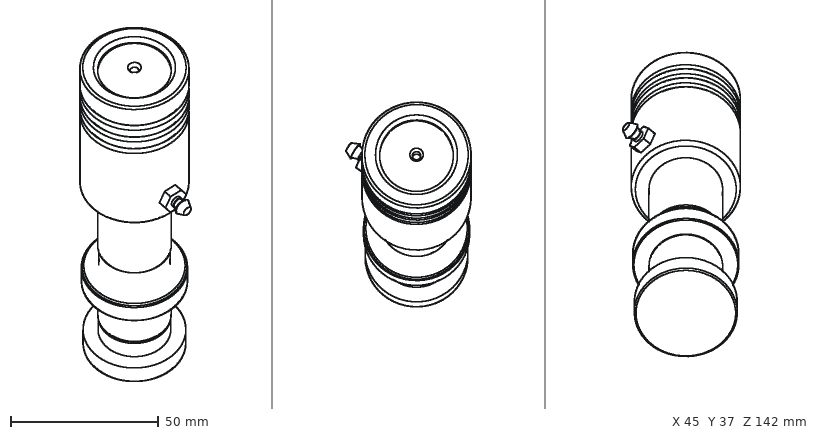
import cadquery as cq
import math

TOTAL_HEIGHT = 142

SLEEVE_DIAMETER = 37.0
SLEEVE_LENGTH = 60.0
SLEEVE_BOTTOM_CHAMFER = 1.4
SLEEVE_TOP_CHAMFER_WIDTH = 1.0
SLEEVE_TOP_CHAMFER_HEIGHT = 0.5
BORE_CHAMFER = 1.4
GROOVE_COUNT = 3
GROOVE_PITCH = 6.0
FIRST_GROOVE_DROP = 10.0
GROOVE_DEPTH = 1.0
GROOVE_WIDTH = 2.5

PILLAR_RADIUS = 12.5
PILLAR_TOP_FILLET = 3.0
PILLAR_END_CHAMFER = 1.0
PILLAR_RELIEF = 0.4
UPPER_RELIEF_HEIGHT = 10.4
LOWER_RELIEF_HEIGHT = 0.5
CENTRE_HOLE_RADIUS = 1.4
CENTRE_HOLE_DEPTH = 5.0
COUNTERSINK_RADIUS = 2.3
COUNTERSINK_ANGLE = 60
DRILL_POINT_ANGLE = 118

COLLAR_RADIUS = 18.0
COLLAR_BOTTOM = 32.1
COLLAR_HEIGHT = 8.2
COLLAR_ROOT_FILLET = 1.0
COLLAR_BOTTOM_CHAMFER = 0.4
COLLAR_BEVEL_STEP = 0.5
COLLAR_BEVEL_NARROW = 0.3

CAP_FLANGE_RADIUS = 17.5
CAP_NECK_RADIUS = 12.4
CAP_FLANGE_HEIGHT = 7.5
CAP_HEIGHT = 14.3
CAP_CHAMFER = 0.5

NIPPLE_HEIGHT = 92.0
NIPPLE_ANGLE = -20
HEX_ACROSS_FLATS = 8.1
HEX_THICKNESS = 3.1
STEM_RADIUS = 3.0
STEM_DEPTH = 2.8
SHANK_RADIUS = 2.0
SHANK_LENGTH = 1.0
NECK_RADIUS = 1.7
NECK_FLARE_RADIUS = 2.5
NECK_LENGTH = 2.3
HEAD_RADIUS = 3.0
HEAD_LENGTH = 2.7
TIP_RADIUS = 1.7

sleeve_radius = SLEEVE_DIAMETER / 2
sleeve_bottom = TOTAL_HEIGHT - SLEEVE_LENGTH
collar_top = COLLAR_BOTTOM + COLLAR_HEIGHT
relief_radius = PILLAR_RADIUS - PILLAR_RELIEF


def revolve_about_z(profile):
    """Turn a closed outline drawn as (radius, Z) around the Z axis."""
    return profile.close().revolve(360, (0, 0, 0), (0, 1, 0))


def nipple_frame(distance):
    """Work plane across the nipple axis at a distance from the sleeve axis."""
    angle = math.radians(NIPPLE_ANGLE)
    outward = (math.cos(angle), math.sin(angle), 0)
    origin = (distance * outward[0], distance * outward[1], NIPPLE_HEIGHT)
    sideways = (-outward[1], outward[0], 0)
    return cq.Workplane(cq.Plane(origin=origin, xDir=sideways, normal=outward))


def make_nipple_stem():
    """Stem that plugs into the wall of the sleeve."""
    return nipple_frame(sleeve_radius - STEM_DEPTH).circle(STEM_RADIUS).extrude(STEM_DEPTH)


def make_sleeve():
    """Turned sleeve with a chamfered bore, three V grooves and a nipple hole."""
    outline = (
        cq.Workplane("XZ")
        .moveTo(PILLAR_RADIUS, sleeve_bottom)
        .lineTo(sleeve_radius - SLEEVE_BOTTOM_CHAMFER, sleeve_bottom)
        .lineTo(sleeve_radius, sleeve_bottom + SLEEVE_BOTTOM_CHAMFER)
        .lineTo(sleeve_radius, TOTAL_HEIGHT - SLEEVE_TOP_CHAMFER_HEIGHT)
        .lineTo(sleeve_radius - SLEEVE_TOP_CHAMFER_WIDTH, TOTAL_HEIGHT)
        .lineTo(PILLAR_RADIUS + BORE_CHAMFER, TOTAL_HEIGHT)
        .lineTo(PILLAR_RADIUS, TOTAL_HEIGHT - BORE_CHAMFER)
    )
    sleeve = revolve_about_z(outline)
    for index in range(GROOVE_COUNT):
        sleeve = sleeve.cut(make_groove(TOTAL_HEIGHT - FIRST_GROOVE_DROP - index * GROOVE_PITCH))
    return sleeve.cut(make_nipple_stem())


def make_groove(height):
    """Ring with a V section, to be cut from the outside of the sleeve."""
    outline = (
        cq.Workplane("XZ")
        .moveTo(sleeve_radius - GROOVE_DEPTH, height)
        .lineTo(sleeve_radius, height - GROOVE_WIDTH / 2)
        .lineTo(sleeve_radius + GROOVE_DEPTH, height - GROOVE_WIDTH / 2)
        .lineTo(sleeve_radius + GROOVE_DEPTH, height + GROOVE_WIDTH / 2)
        .lineTo(sleeve_radius, height + GROOVE_WIDTH / 2)
    )
    return revolve_about_z(outline)


def make_pillar():
    """Turned pillar with a collar, relief necks and a centre hole in its top."""
    fillet_centre_radius = PILLAR_RADIUS - PILLAR_TOP_FILLET
    fillet_centre_height = TOTAL_HEIGHT - PILLAR_TOP_FILLET
    fillet_mid_offset = PILLAR_TOP_FILLET * math.sqrt(0.5)
    root_radius = relief_radius + COLLAR_ROOT_FILLET
    root_mid_offset = COLLAR_ROOT_FILLET * (1 - math.sqrt(0.5))
    lower_relief_end = COLLAR_BOTTOM - LOWER_RELIEF_HEIGHT
    upper_relief_end = collar_top + UPPER_RELIEF_HEIGHT
    bevel_middle_radius = COLLAR_RADIUS - COLLAR_BEVEL_NARROW
    outline = (
        cq.Workplane("XZ")
        .moveTo(0, CAP_HEIGHT)
        .lineTo(PILLAR_RADIUS - PILLAR_END_CHAMFER, CAP_HEIGHT)
        .lineTo(PILLAR_RADIUS, CAP_HEIGHT + PILLAR_END_CHAMFER)
        .lineTo(PILLAR_RADIUS, lower_relief_end - PILLAR_RELIEF)
        .lineTo(relief_radius, lower_relief_end)
        .lineTo(relief_radius, COLLAR_BOTTOM)
        .lineTo(COLLAR_RADIUS - COLLAR_BOTTOM_CHAMFER, COLLAR_BOTTOM)
        .lineTo(COLLAR_RADIUS, COLLAR_BOTTOM + COLLAR_BOTTOM_CHAMFER)
        .lineTo(COLLAR_RADIUS, collar_top - 2 * COLLAR_BEVEL_STEP)
        .lineTo(bevel_middle_radius, collar_top - COLLAR_BEVEL_STEP)
        .lineTo(bevel_middle_radius - COLLAR_BEVEL_STEP, collar_top)
        .lineTo(root_radius, collar_top)
        .threePointArc(
            (relief_radius + root_mid_offset, collar_top + root_mid_offset),
            (relief_radius, collar_top + COLLAR_ROOT_FILLET),
        )
        .lineTo(relief_radius, upper_relief_end - PILLAR_RELIEF)
        .lineTo(PILLAR_RADIUS, upper_relief_end)
        .lineTo(PILLAR_RADIUS, fillet_centre_height)
        .threePointArc(
            (fillet_centre_radius + fillet_mid_offset, fillet_centre_height + fillet_mid_offset),
            (fillet_centre_radius, TOTAL_HEIGHT),
        )
        .lineTo(0, TOTAL_HEIGHT)
    )
    return revolve_about_z(outline).cut(make_centre_hole())


def make_centre_hole():
    """Countersunk blind hole with a conical drill point."""
    half_angle = math.radians(COUNTERSINK_ANGLE / 2)
    countersink_depth = (COUNTERSINK_RADIUS - CENTRE_HOLE_RADIUS) / math.tan(half_angle)
    point_depth = CENTRE_HOLE_RADIUS / math.tan(math.radians(DRILL_POINT_ANGLE / 2))
    hole_bottom = TOTAL_HEIGHT - CENTRE_HOLE_DEPTH
    outline = (
        cq.Workplane("XZ")
        .moveTo(0, TOTAL_HEIGHT)
        .lineTo(COUNTERSINK_RADIUS, TOTAL_HEIGHT)
        .lineTo(CENTRE_HOLE_RADIUS, TOTAL_HEIGHT - countersink_depth)
        .lineTo(CENTRE_HOLE_RADIUS, hole_bottom)
        .lineTo(0, hole_bottom - point_depth)
    )
    return revolve_about_z(outline)


def make_end_cap():
    """Flanged cap under the pillar, with a neck slightly slimmer than the pillar."""
    flange = cq.Workplane("XY").circle(CAP_FLANGE_RADIUS).extrude(CAP_FLANGE_HEIGHT)
    flange = flange.faces("<Z").chamfer(CAP_CHAMFER)
    neck = cq.Workplane("XY").circle(CAP_NECK_RADIUS).extrude(CAP_HEIGHT)
    return flange.union(neck)


def make_nipple():
    """Grease nipple: stem, hexagon with two level flats, neck and tapered head."""
    across_corners = HEX_ACROSS_FLATS / math.cos(math.pi / 6)
    shank_start = sleeve_radius + HEX_THICKNESS
    neck_start = shank_start + SHANK_LENGTH
    head_start = neck_start + NECK_LENGTH

    hexagon = nipple_frame(sleeve_radius).polygon(6, across_corners).extrude(HEX_THICKNESS)
    shank = nipple_frame(shank_start).circle(SHANK_RADIUS).extrude(SHANK_LENGTH)
    neck = make_nipple_cone(neck_start, NECK_RADIUS, NECK_FLARE_RADIUS, NECK_LENGTH)
    head = make_nipple_cone(head_start, HEAD_RADIUS, TIP_RADIUS, HEAD_LENGTH)
    return make_nipple_stem().union(hexagon).union(shank).union(neck).union(head)


def make_nipple_cone(start, start_radius, end_radius, length):
    """Cone frustum along the nipple axis, starting at a distance from the sleeve axis."""
    plane = nipple_frame(start).plane
    return cq.Workplane(cq.Solid.makeCone(start_radius, end_radius, length, plane.origin, plane.zDir))


sleeve = make_sleeve()
pillar = make_pillar()
end_cap = make_end_cap()
grease_nipple = make_nipple()

result = cq.Compound.makeCompound([sleeve.val(), pillar.val(), end_cap.val(), grease_nipple.val()])